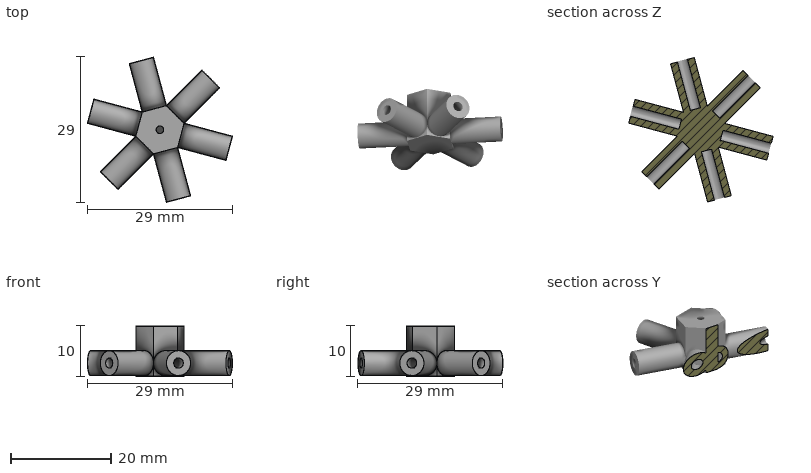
import cadquery as cq
import math

hub_sides = 6
hub_side_length = 5.0
hub_height = 10.0
hub_turn = 15.0

arm_diameter = 5.0
arm_length = 10.0
arm_bottom_gap = 0.132

arm_bore_diameter = 2.0
arm_bore_depth = arm_length
top_hole_diameter = 1.5
top_hole_depth = hub_height / 2

face_pitch = 360.0 / hub_sides
hub_corner_radius = hub_side_length
hub_face_distance = hub_corner_radius * math.cos(math.radians(face_pitch / 2))
first_arm_angle = hub_turn + face_pitch / 2
arm_angles = [first_arm_angle + i * face_pitch for i in range(hub_sides)]
arm_axis_z = arm_bottom_gap + arm_diameter / 2
arm_end = hub_face_distance + arm_length
bore_start = arm_end - arm_bore_depth


def turned(shape, angle):
    """Turn a shape about the Z axis by an angle in degrees."""
    return shape.rotate((0, 0, 0), (0, 0, 1), angle)


def make_hub():
    """Upright hexagonal prism."""
    hexagon = cq.Workplane("XY").polygon(hub_sides, 2 * hub_corner_radius)
    return turned(hexagon.extrude(hub_height), hub_turn)


def radial_cylinder(diameter, start, end, angle):
    """Horizontal cylinder at arm height, between two distances from the hub axis."""
    section = cq.Workplane("YZ", origin=(start, 0, arm_axis_z)).circle(diameter / 2)
    return turned(section.extrude(end - start), angle)


def make_top_hole():
    """Cutter for the blind hole down the hub axis."""
    section = cq.Workplane("XY", origin=(0, 0, hub_height)).circle(top_hole_diameter / 2)
    return section.extrude(-top_hole_depth)


result = make_hub()

for arm_angle in arm_angles:
    result = result.union(radial_cylinder(arm_diameter, 0, arm_end, arm_angle))

for arm_angle in arm_angles:
    result = result.cut(radial_cylinder(arm_bore_diameter, bore_start, arm_end, arm_angle))

result = result.cut(make_top_hole())